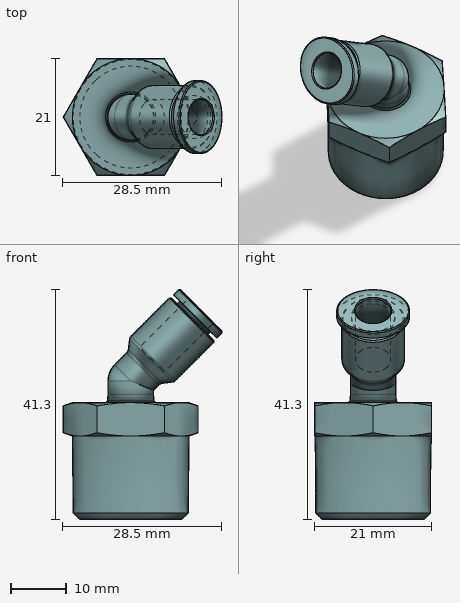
import cadquery as cq
import math

shank_length = 15.0
shank_top_radius = 10.49
shank_tip_radius = 10.35
shank_chamfer = 1.2

hex_across_flats = 21.0
hex_height = 6.0
hex_chamfer_angle = 20.0
hex_bottom = shank_length
hex_top = hex_bottom + hex_height
hex_corner_radius = hex_across_flats / math.sqrt(3)

neck_radius = 4.1
foot_radius = 4.5
foot_height = 0.3
foot_top_radius = 4.2
foot_cone_top = hex_top + 1.5

elbow_height = 24.9
elbow_angle = 45.0
barrel_radius = 5.65
barrel_start = 5.4
barrel_end = 15.7
barrel_edge_chamfer = 0.25
shoulder_start = 3.4
shoulder_inner_fillet = 1.0
shoulder_outer_fillet = 0.75

stem_radius = 3.9
collar_start = 16.4
collar_end = 17.9
collar_half_width = 6.57
collar_half_depth = 5.5
collar_edge_chamfer = 0.2

socket_radius = 3.15
socket_rim_chamfer = 0.2
socket_depth = collar_end - barrel_start


def revolved(points):
    """Solid of revolution about Z from (radius, height) points, closed along the axis."""
    return cq.Workplane("XZ").polyline(points).close().revolve(360, (0, 0, 0), (0, 1, 0))


def make_shank():
    return revolved([
        (0, 0),
        (shank_tip_radius - shank_chamfer, 0),
        (shank_tip_radius, shank_chamfer),
        (shank_top_radius, shank_length),
        (0, shank_length),
    ])


def make_hex():
    """Hexagon whose corners are chamfered by cones meeting the end faces at the flats."""
    prism = (
        cq.Workplane("XY", origin=(0, 0, hex_bottom))
        .polygon(6, 2 * hex_corner_radius)
        .extrude(hex_height)
    )
    face_radius = hex_across_flats / 2
    drop = (hex_corner_radius - face_radius) * math.tan(math.radians(hex_chamfer_angle))
    envelope = revolved([
        (0, hex_bottom),
        (face_radius, hex_bottom),
        (hex_corner_radius, hex_bottom + drop),
        (hex_corner_radius, hex_top - drop),
        (face_radius, hex_top),
        (0, hex_top),
    ])
    return prism.intersect(envelope)


def make_neck():
    return revolved([
        (0, hex_top),
        (foot_radius, hex_top),
        (foot_top_radius, hex_top + foot_height),
        (neck_radius, foot_cone_top),
        (neck_radius, elbow_height),
        (0, elbow_height),
    ])


def make_barrel():
    """Port body along Z from the elbow centre, ending in the stem under the collar."""
    body = revolved([
        (0, 0),
        (neck_radius, 0),
        (neck_radius, shoulder_start),
        (barrel_radius, barrel_start),
        (barrel_radius, barrel_end),
        (0, barrel_end),
    ])
    body = body.faces(">Z").edges().chamfer(barrel_edge_chamfer)
    body = round_ring(body, shoulder_start, shoulder_inner_fillet)
    body = round_ring(body, barrel_start, shoulder_outer_fillet)
    stem = cq.Workplane("XY").circle(stem_radius).extrude(collar_start)
    return body.union(stem)


def round_ring(body, height, radius):
    """Fillet the circular edge that lies at the given height."""
    tolerance = 0.01
    reach = 2 * barrel_radius
    ring = cq.selectors.BoxSelector(
        (-reach, -reach, height - tolerance),
        (reach, reach, height + tolerance),
        boundingbox=True,
    )
    return body.edges(ring).fillet(radius)


def make_collar():
    return (
        cq.Workplane("XY", origin=(0, 0, collar_start))
        .ellipse(collar_half_depth, collar_half_width)
        .extrude(collar_end - collar_start)
        .faces(">Z").edges().chamfer(collar_edge_chamfer)
    )


def make_socket():
    return revolved([
        (0, collar_end - socket_depth),
        (socket_radius, collar_end - socket_depth),
        (socket_radius, collar_end - socket_rim_chamfer),
        (socket_radius + socket_rim_chamfer, collar_end),
        (0, collar_end),
    ])


def tilted(body):
    """Move a body built along Z onto the inclined port axis."""
    return body.rotate((0, 0, 0), (0, 1, 0), elbow_angle).translate((0, 0, elbow_height))


def make_elbow_ball():
    return cq.Workplane("XY", origin=(0, 0, elbow_height)).sphere(neck_radius)


port = make_barrel().union(make_collar())
result = make_shank().union(make_hex()).union(make_neck()).union(make_elbow_ball())
result = result.union(tilted(port)).cut(tilted(make_socket()))